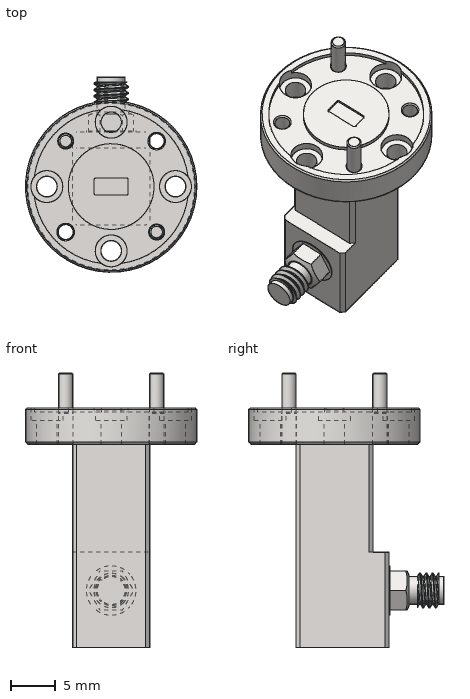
import cadquery as cq
import math

POST_SIDE = 8.58
FOOT_BACK = 6.08
FOOT_HEIGHT = 10.63
EDGE_CHAMFER = 0.45

FLANGE_RADIUS = 9.53
FLANGE_BOTTOM = 22.6
FLANGE_TOP = 26.63
FLANGE_TOP_CHAMFER = 0.18
FLANGE_BOTTOM_CHAMFER = 0.27
RECESS_RADIUS = 8.6
BOSS_RADIUS = 4.75
RECESS_DEPTH = 0.45

BOLT_CIRCLE_RADIUS = 7.15
SCREW_HOLE_RADIUS = 1.13
COUNTERBORE_RADIUS = 1.77
COUNTERBORE_DEPTH = 1.4
SCREW_ANGLES = (0, 90, 180, 270)
ALIGNMENT_HOLE_RADIUS = 0.82
ALIGNMENT_HOLE_CHAMFER = 0.15
ALIGNMENT_HOLE_ANGLES = (45, 225)

PIN_RADIUS = 0.8
PIN_TOP = 30.55
PIN_TIP_CHAMFER = 0.15
PIN_HOLE_CHAMFER = 0.1
PIN_ANGLES = (135, 315)

WINDOW_LENGTH = 3.8
WINDOW_WIDTH = 1.9
WINDOW_DEPTH = 0.25
WINDOW_CORNER_RADIUS = 0.18

CONNECTOR_HEIGHT = 6.35
CONNECTOR_END = 12.15
COLLAR_RADIUS = 2.75
COLLAR_THICKNESS = 0.1
HEX_FLATS = 4.35
HEX_END = 8.3
HEX_END_RADIUS = 1.68
HEX_BEVEL_LENGTH = 0.37
BARREL_RADIUS = 1.55
THREAD_RADIUS = 1.92
THREAD_PITCH = 0.7
THREAD_START = 9.22
THREAD_END = 11.65
THREAD_CREST_PLACE = 11.1
THREAD_ROOT_WIDTH = 0.65
THREAD_CREST_WIDTH = 0.1
THREAD_ROOT_EMBED = 0.05

RECESS_FLOOR = FLANGE_TOP - RECESS_DEPTH


def on_bolt_circle(angle):
    """Return the X and Y of the bolt circle point at an angle in degrees."""
    turn = math.radians(angle)
    return (BOLT_CIRCLE_RADIUS * math.cos(turn), BOLT_CIRCLE_RADIUS * math.sin(turn))


def upright_cylinder(center, bottom, top, radius):
    """Cylinder along Z between two heights."""
    return cq.Workplane("XY", origin=(*center, bottom)).circle(radius).extrude(top - bottom)


def make_block():
    """Square post and the deeper foot below it, with chamfered upright edges."""
    post = cq.Workplane("XY").rect(POST_SIDE, POST_SIDE).extrude(FLANGE_BOTTOM)
    post = post.edges("|Z").chamfer(EDGE_CHAMFER)
    foot_depth = FOOT_BACK + POST_SIDE / 2
    foot_center = (FOOT_BACK - POST_SIDE / 2) / 2
    foot = cq.Workplane("XY").center(0, foot_center).rect(POST_SIDE, foot_depth).extrude(FOOT_HEIGHT)
    foot = foot.edges("|Z").chamfer(EDGE_CHAMFER)
    return post.union(foot)


def make_flange():
    """Round flange with a ring-shaped recess around a flat center boss."""
    flange = upright_cylinder((0, 0), FLANGE_BOTTOM, FLANGE_TOP, FLANGE_RADIUS)
    flange = flange.faces(">Z").chamfer(FLANGE_TOP_CHAMFER)
    flange = flange.faces("<Z").chamfer(FLANGE_BOTTOM_CHAMFER)
    ring = (
        cq.Workplane("XY", origin=(0, 0, RECESS_FLOOR))
        .circle(RECESS_RADIUS)
        .circle(BOSS_RADIUS)
        .extrude(RECESS_DEPTH)
    )
    return flange.cut(ring)


def screw_hole(angle):
    """Cutter for a through hole with a counterbore sunk from the flange top."""
    center = on_bolt_circle(angle)
    hole = upright_cylinder(center, FLANGE_BOTTOM, FLANGE_TOP, SCREW_HOLE_RADIUS)
    return hole.union(
        upright_cylinder(center, FLANGE_TOP - COUNTERBORE_DEPTH, FLANGE_TOP, COUNTERBORE_RADIUS)
    )


def chamfered_hole(angle, radius, chamfer):
    """Cutter for a through hole with a chamfered mouth at the recess floor."""
    hole = upright_cylinder(on_bolt_circle(angle), FLANGE_BOTTOM, RECESS_FLOOR, radius)
    mouth = (
        cq.Workplane("XY", origin=(*on_bolt_circle(angle), RECESS_FLOOR))
        .circle(radius + chamfer)
        .workplane(offset=-chamfer)
        .circle(radius)
        .loft()
    )
    return hole.union(mouth)


def waveguide_window():
    """Cutter for the shallow rounded rectangle in the boss."""
    return (
        cq.Workplane("XY", origin=(0, 0, FLANGE_TOP - WINDOW_DEPTH))
        .rect(WINDOW_LENGTH, WINDOW_WIDTH)
        .extrude(WINDOW_DEPTH)
        .edges("|Z")
        .fillet(WINDOW_CORNER_RADIUS)
    )


def along_connector(shape):
    """Move a shape built along +Z from the origin onto the connector axis along +Y."""
    return shape.rotate((0, 0, 0), (1, 0, 0), -90).translate((0, 0, CONNECTOR_HEIGHT))


def make_thread():
    """Right-hand helical ridge around the barrel, built along +Z and cut off flat at both ends.

    The helix overruns both ends. One of its crests passes the +X side at THREAD_CREST_PLACE.
    """
    root_radius = BARREL_RADIUS - THREAD_ROOT_EMBED
    turns_below = math.ceil((THREAD_CREST_PLACE - THREAD_START) / THREAD_PITCH) + 1
    turns_above = math.ceil((THREAD_END - THREAD_CREST_PLACE) / THREAD_PITCH) + 1
    helix_length = (turns_below + turns_above) * THREAD_PITCH
    path = cq.Wire.makeHelix(THREAD_PITCH, helix_length, BARREL_RADIUS)
    ridge = (
        cq.Workplane("XZ")
        .moveTo(root_radius, -THREAD_ROOT_WIDTH / 2)
        .lineTo(THREAD_RADIUS, -THREAD_CREST_WIDTH / 2)
        .lineTo(THREAD_RADIUS, THREAD_CREST_WIDTH / 2)
        .lineTo(root_radius, THREAD_ROOT_WIDTH / 2)
        .close()
        .sweep(cq.Workplane(path), isFrenet=True)
        .translate((0, 0, THREAD_CREST_PLACE - turns_below * THREAD_PITCH))
    )
    return ridge.intersect(upright_cylinder((0, 0), THREAD_START, THREAD_END, 2 * THREAD_RADIUS))


def make_hex():
    """Hexagon with flats facing up and down and a conical bevel on its outer end."""
    corner_radius = HEX_FLATS / math.sqrt(3)
    envelope = (
        cq.Workplane("XZ")
        .moveTo(0, FOOT_BACK)
        .lineTo(corner_radius, FOOT_BACK)
        .lineTo(corner_radius, HEX_END - HEX_BEVEL_LENGTH)
        .lineTo(HEX_END_RADIUS, HEX_END)
        .lineTo(0, HEX_END)
        .close()
        .revolve(360, (0, 0, 0), (0, 1, 0))
    )
    prism = (
        cq.Workplane("XY", origin=(0, 0, FOOT_BACK))
        .polygon(6, 2 * corner_radius)
        .extrude(HEX_END - FOOT_BACK)
    )
    return prism.intersect(envelope)


def make_connector():
    """Collar, hexagon and threaded barrel, joined along the connector axis."""
    collar = upright_cylinder((0, 0), FOOT_BACK, FOOT_BACK + COLLAR_THICKNESS, COLLAR_RADIUS)
    barrel = upright_cylinder((0, 0), FOOT_BACK, CONNECTOR_END, BARREL_RADIUS)
    return along_connector(collar.union(make_hex()).union(barrel).union(make_thread()))


def make_housing():
    """Block, flange and connector as one body with all its holes."""
    housing = make_block().union(make_flange()).union(make_connector())
    for angle in SCREW_ANGLES:
        housing = housing.cut(screw_hole(angle))
    for angle in ALIGNMENT_HOLE_ANGLES:
        housing = housing.cut(chamfered_hole(angle, ALIGNMENT_HOLE_RADIUS, ALIGNMENT_HOLE_CHAMFER))
    for angle in PIN_ANGLES:
        housing = housing.cut(chamfered_hole(angle, PIN_RADIUS, PIN_HOLE_CHAMFER))
    return housing.cut(waveguide_window())


def make_pin(angle):
    """Alignment pin that fills its flange hole and ends in a chamfered tip."""
    pin = upright_cylinder(on_bolt_circle(angle), FLANGE_BOTTOM, PIN_TOP, PIN_RADIUS)
    return pin.faces(">Z").chamfer(PIN_TIP_CHAMFER)


housing = make_housing()
pins = [make_pin(angle) for angle in PIN_ANGLES]
result = cq.Compound.makeCompound([housing.val(), *[pin.val() for pin in pins]])